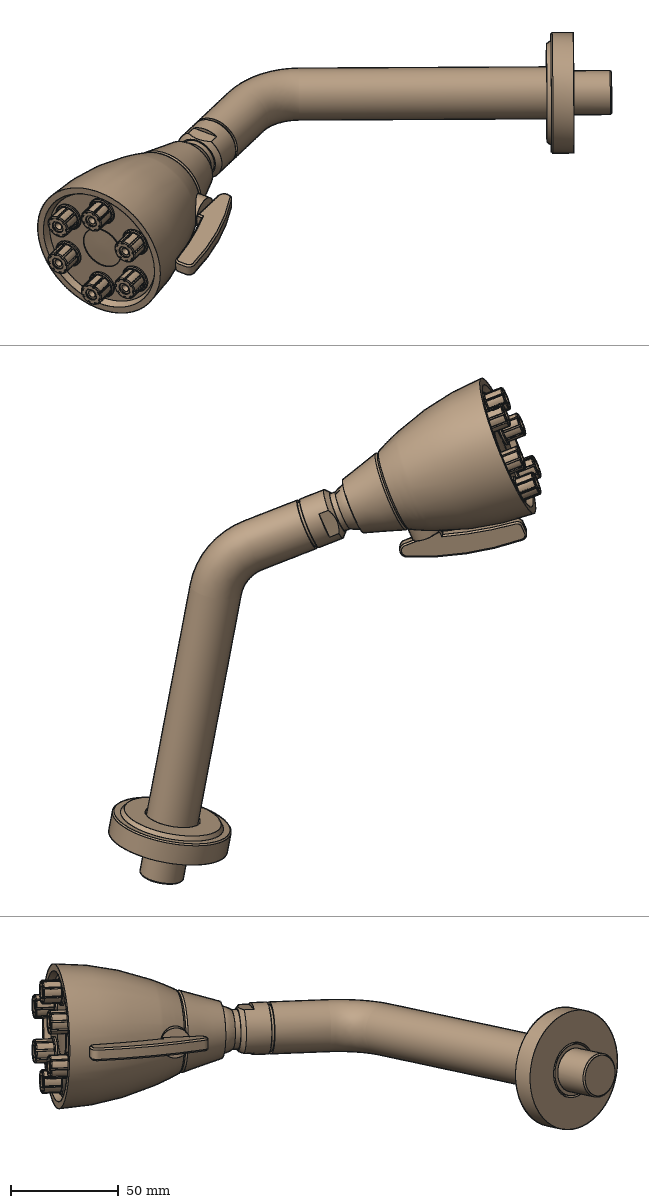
import cadquery as cq
import math


rim_radius = 33.73
bell_mid_radius = 30.0
bell_length = 57.0
bell_top_radius = 19.6
seam_groove_width = 1.8
seam_groove_depth = 0.6
cap_base_radius = 19.2
cap_top_radius = 13.4
cap_top_y = 77.7

recess_depth = 3.0
recess_rim_radius = 30.5
recess_floor_radius = 29.0
center_disc_radius = 10.2
center_disc_height = 0.4
center_disc_crown = 0.3

nozzle_count = 6
nozzle_circle_radius = 21.2
nozzle_radius = 5.55
nozzle_projection = 6.95
nozzle_chamfer = 0.5
nozzle_collar_radius = 6.6
nozzle_collar_height = 1.4
nozzle_collar_chamfer = 0.5
nozzle_root = 1.0
nozzle_groove_count = 8
nozzle_groove_width = 0.9
nozzle_groove_depth = 1.1
nozzle_groove_offset = 30.0
nozzle_mouth_radius = 2.9
nozzle_mouth_depth = 0.8
nozzle_bore_radius = 1.8
nozzle_bore_tip_radius = 0.5
nozzle_bore_depth = 2.5

ball_radius = 11.3
ball_center_y = 76.6
neck_radius = 9.3
nut_bottom_y = 85.6
nut_chamfer_length = 2.1
nut_chamfer_radius = 9.9
nut_radius = 12.15
nut_top_y = 99.8
collar_radius = 11.0
collar_length = 1.4
flat_half_distance = 10.4
flat_top_y = 92.4

arm_radius = 12.15
arm_start_y = nut_top_y + collar_length
bend_start_y = 127.9
bend_radius = 29.5
bend_angle = 57.25
arm_tail_length = 127.45
spigot_length = 17.7
spigot_radius = 10.3
spigot_chamfer = 0.7

flange_radius = 28.1
flange_rim_thickness = 10.5
flange_rim_chamfer = 0.7
flange_step_height = 2.0
flange_step_base_radius = 24.3
flange_step_face_radius = 22.9
flange_hole_radius = 13.0

lever_thickness = 6.0
lever_chamfer = 0.8
lever_inner_x = 25.6
lever_heel_y = 44.5
lever_tip_y = 8.4
lever_tip_inner_x = 35.8
lever_tip_outer_x = 45.3
lever_tip_fillet = 3.0
lever_neck_x = 28.3
lever_inner_curve_point = (32.6, 28.5)
lever_outer_curve_point = (40.7, 41.0)
lever_crown_start = (lever_inner_x, 62.5)
lever_crown_top = (29.2, 66.3)
lever_crown_end = (32.4, 64.0)
stem_radius = 7.1
stem_center_y = lever_heel_y + stem_radius
stem_bottom_x = 15.0


def revolve_about_y(profile):
    return profile.close().revolve(360, (0, 0, 0), (0, 1, 0))


def make_head_shell():
    disc_edge_y = recess_depth - center_disc_height
    groove_top_y = bell_length + seam_groove_width
    groove_middle_y = bell_length + seam_groove_width / 2
    groove_radius = cap_base_radius - seam_groove_depth
    profile = (
        cq.Workplane("XY")
        .moveTo(0, disc_edge_y - center_disc_crown)
        .lineTo(center_disc_radius, disc_edge_y)
        .lineTo(center_disc_radius, recess_depth)
        .lineTo(recess_floor_radius, recess_depth)
        .lineTo(recess_rim_radius, 0)
        .lineTo(rim_radius, 0)
        .threePointArc((bell_mid_radius, bell_length / 2), (bell_top_radius, bell_length))
        .lineTo(groove_radius, groove_middle_y)
        .lineTo(cap_base_radius, groove_top_y)
        .lineTo(cap_top_radius, cap_top_y)
        .lineTo(0, cap_top_y)
    )
    return revolve_about_y(profile)


def nozzle_angles():
    return [90 + index * 360 / nozzle_count for index in range(nozzle_count)]


def place_nozzle(shape, angle):
    """Move a shape from the Y axis to the nozzle circle, its local X pointing outward."""
    return shape.translate((nozzle_circle_radius, 0, 0)).rotate((0, 0, 0), (0, 1, 0), -angle)


def make_nozzle():
    tip_y = -nozzle_projection
    base_y = recess_depth + nozzle_root
    collar_y = recess_depth - nozzle_collar_height
    mouth_y = tip_y + nozzle_mouth_depth
    profile = (
        cq.Workplane("XY")
        .moveTo(0, base_y)
        .lineTo(nozzle_collar_radius, base_y)
        .lineTo(nozzle_collar_radius, collar_y + nozzle_collar_chamfer)
        .lineTo(nozzle_collar_radius - nozzle_collar_chamfer, collar_y)
        .lineTo(nozzle_radius, collar_y)
        .lineTo(nozzle_radius, tip_y + nozzle_chamfer)
        .lineTo(nozzle_radius - nozzle_chamfer, tip_y)
        .lineTo(nozzle_mouth_radius, tip_y)
        .lineTo(nozzle_mouth_radius, mouth_y)
        .lineTo(nozzle_bore_radius, mouth_y)
        .lineTo(nozzle_bore_tip_radius, mouth_y + nozzle_bore_depth)
        .lineTo(0, mouth_y + nozzle_bore_depth)
    )
    nozzle = revolve_about_y(profile)
    groove_length = collar_y - tip_y
    groove = cq.Workplane("XY").box(2 * nozzle_groove_depth, groove_length, nozzle_groove_width)
    groove = groove.translate((nozzle_radius, (collar_y + tip_y) / 2, 0))
    for index in range(nozzle_groove_count):
        angle = nozzle_groove_offset + index * 360 / nozzle_groove_count
        nozzle = nozzle.cut(groove.rotate((0, 0, 0), (0, 1, 0), -angle))
    return nozzle


def make_ball():
    return cq.Workplane("XY").sphere(ball_radius).translate((0, ball_center_y, 0))


def make_stem():
    return (
        cq.Workplane("YZ", origin=(stem_bottom_x, stem_center_y, 0))
        .circle(stem_radius)
        .extrude(lever_inner_x - stem_bottom_x)
    )


def make_head():
    head = make_head_shell().cut(make_ball()).cut(make_stem())
    for angle in nozzle_angles():
        head = head.union(place_nozzle(make_nozzle(), angle))
    return head


def make_ball_nut():
    nut_side_y = nut_bottom_y + nut_chamfer_length
    profile = (
        cq.Workplane("XY")
        .moveTo(0, ball_center_y)
        .lineTo(neck_radius, ball_center_y)
        .lineTo(neck_radius, nut_bottom_y)
        .lineTo(nut_chamfer_radius, nut_bottom_y)
        .lineTo(nut_radius, nut_side_y)
        .lineTo(nut_radius, nut_top_y)
        .lineTo(collar_radius, nut_top_y)
        .lineTo(collar_radius, nut_top_y + collar_length)
        .lineTo(0, nut_top_y + collar_length)
    )
    nut = revolve_about_y(profile)
    flat_length = flat_top_y - nut_bottom_y
    flat_depth = nut_radius - flat_half_distance
    for side in (-1, 1):
        cutter = cq.Workplane("XY").box(2 * nut_radius, flat_length, 2 * flat_depth)
        center_z = side * (flat_half_distance + flat_depth)
        nut = nut.cut(cutter.translate((0, (flat_top_y + nut_bottom_y) / 2, center_z)))
    return nut.union(make_ball())


def bend_point(angle):
    """Point on the arm's center line after turning by the given angle."""
    turn = math.radians(angle)
    return (bend_radius * (1 - math.cos(turn)), bend_start_y + bend_radius * math.sin(turn))


def tail_plane(distance):
    """Plane across the straight tail of the arm, at a distance beyond the bend."""
    turn = math.radians(bend_angle)
    direction = (math.sin(turn), math.cos(turn), 0)
    bend_x, bend_y = bend_point(bend_angle)
    origin = (bend_x + distance * direction[0], bend_y + distance * direction[1], 0)
    return cq.Plane(origin=origin, xDir=(0, 0, 1), normal=direction)


def make_arm():
    lead = (
        cq.Workplane("XZ", origin=(0, arm_start_y, 0))
        .circle(arm_radius)
        .extrude(-(bend_start_y - arm_start_y))
    )
    path = (
        cq.Workplane("XY")
        .moveTo(0, bend_start_y)
        .threePointArc(bend_point(bend_angle / 2), bend_point(bend_angle))
    )
    bend = cq.Workplane("XZ", origin=(0, bend_start_y, 0)).circle(arm_radius).sweep(path)
    tail = cq.Workplane(tail_plane(0)).circle(arm_radius).extrude(arm_tail_length)
    spigot = (
        cq.Workplane(tail_plane(arm_tail_length))
        .circle(spigot_radius)
        .extrude(spigot_length)
        .faces(">X")
        .chamfer(spigot_chamfer)
    )
    return lead.union(bend).union(tail).union(spigot)


def make_flange():
    """Wall flange around the arm, its back flush with the arm's shoulder."""
    rim_front = flange_rim_thickness
    step_front = rim_front + flange_step_height
    profile = (
        cq.Workplane("XY")
        .moveTo(flange_hole_radius, 0)
        .lineTo(flange_radius, 0)
        .lineTo(flange_radius, rim_front - flange_rim_chamfer)
        .lineTo(flange_radius - flange_rim_chamfer, rim_front)
        .lineTo(flange_step_base_radius, rim_front)
        .lineTo(flange_step_face_radius, step_front)
        .lineTo(flange_hole_radius, step_front)
    )
    flange = revolve_about_y(profile)
    back = tail_plane(arm_tail_length).origin
    return flange.rotate((0, 0, 0), (0, 0, 1), 180 - bend_angle).translate(back)


def make_lever():
    blade = (
        cq.Workplane("XY", origin=(0, 0, -lever_thickness / 2))
        .moveTo(lever_inner_x, lever_heel_y)
        .lineTo(*lever_crown_start)
        .threePointArc(lever_crown_top, lever_crown_end)
        .threePointArc(lever_outer_curve_point, (lever_tip_outer_x, lever_tip_y))
        .lineTo(lever_tip_inner_x, lever_tip_y)
        .threePointArc(lever_inner_curve_point, (lever_neck_x, lever_heel_y))
        .close()
        .extrude(lever_thickness)
    )
    blade = blade.faces("<Y").edges("|Z").fillet(lever_tip_fillet)
    blade = blade.faces("<Z or >Z").chamfer(lever_chamfer)
    return blade.union(make_stem())


head = make_head()
ball_nut = make_ball_nut()
arm = make_arm()
flange = make_flange()
lever = make_lever()

result = cq.Compound.makeCompound(
    [head.val(), ball_nut.val(), arm.val(), flange.val(), lever.val()]
)